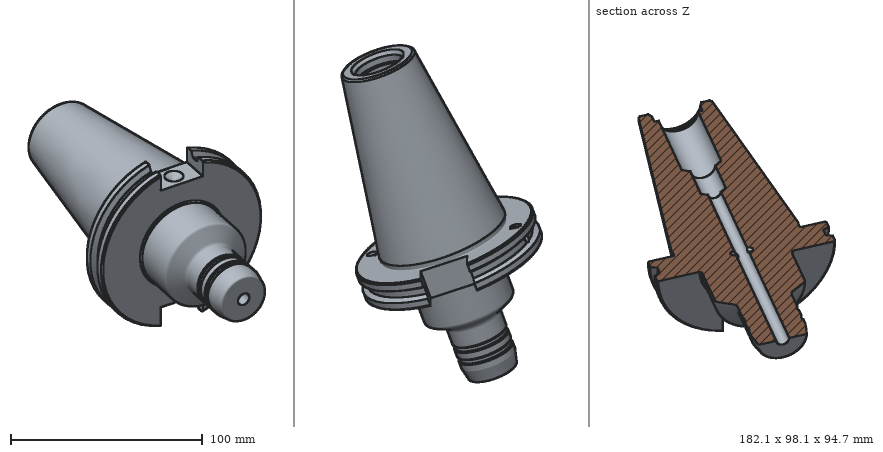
import cadquery as cq
import math


gauge_diameter = 69.85
taper_ratio = 7 / 24
taper_length = 101.6
taper_end_chamfer = 1.0
neck_diameter = 69.25
neck_start = 1.0
neck_fillet = 0.4

flange_diameter = 98.1
flange_start = 3.175
flange_end = 19.05
flange_chamfer = 0.8
groove_center = 11.1
groove_floor_diameter = 91.4
groove_floor_width = 3.8
groove_mouth_width = 7.0

slot_width = 25.7
upper_slot_floor = 37.8
lower_slot_floor = 35.3
dimple_diameter = 10.0
drill_point_half_angle = math.radians(59)

overall_length = 182.1
nose_end = overall_length - taper_length
body_diameter = 49.5
body_root_chamfer = 0.9
shoulder_start = 41.7
shoulder_angle = math.radians(60)
shoulder_outer_fillet = 2.0
shoulder_inner_fillet = 2.5
nose_diameter = 30.0
nose_taper_start = 73.0
nose_tip_diameter = 27.0
nose_tip_fillet = 1.0
nose_groove_starts = (58.8, 65.9)
nose_groove_width = 3.2
nose_groove_diameter = 29.0
nose_groove_floor_width = 2.0

mouth_diameter = 29.0
mouth_depth = 2.4
pilot_diameter = 26.2
pilot_depth = 6.2
tap_hole_diameter = 21.5
tap_hole_depth = 45.0
cavity_diameter = 13.5
cavity_depth = 65.0
through_diameter = 6.92

coolant_angle = 20.0
coolant_radius = 42.0
coolant_tilt = 35.0
coolant_mouth_diameter = 5.0
coolant_mouth_depth = 1.6
coolant_diameter = 4.13
radial_hole_diameter = 4.2


def make_body():
    """Revolve the outside of taper, flange, body and nose."""
    small_radius = (gauge_diameter - taper_length * taper_ratio) / 2
    chamfer_x = -taper_length + taper_end_chamfer
    chamfer_radius = small_radius + taper_end_chamfer * taper_ratio / 2
    neck_radius = neck_diameter / 2
    flange_radius = flange_diameter / 2
    body_radius = body_diameter / 2
    nose_radius = nose_diameter / 2
    tip_radius = nose_tip_diameter / 2

    sin_a = math.sin(shoulder_angle)
    cos_a = math.cos(shoulder_angle)
    sin_half = math.sin(shoulder_angle / 2)
    cos_half = math.cos(shoulder_angle / 2)
    outer = shoulder_outer_fillet
    inner = shoulder_inner_fillet
    cone_start = (shoulder_start + outer * sin_a, body_radius - outer * (1 - cos_a))
    cone_end_radius = nose_radius + inner * (1 - cos_a)
    cone_end_x = cone_start[0] + (cone_start[1] - cone_end_radius) / math.tan(shoulder_angle)
    shoulder_end = cone_end_x + inner * sin_a
    outer_mid = (shoulder_start + outer * sin_half, body_radius - outer * (1 - cos_half))
    inner_mid = (shoulder_end - inner * sin_half, nose_radius + inner * (1 - cos_half))

    neck_diag = neck_fillet * (1 - math.sqrt(0.5))

    tip_start = nose_end - nose_tip_fillet
    tip_diag = nose_tip_fillet * (1 - math.sqrt(0.5))

    profile = (
        cq.Workplane("XY")
        .moveTo(-taper_length, 0)
        .lineTo(-taper_length, small_radius - taper_end_chamfer)
        .lineTo(chamfer_x, chamfer_radius)
        .lineTo(0, gauge_diameter / 2)
        .lineTo(neck_start, neck_radius)
        .lineTo(flange_start - neck_fillet, neck_radius)
        .threePointArc(
            (flange_start - neck_diag, neck_radius + neck_diag),
            (flange_start, neck_radius + neck_fillet),
        )
        .lineTo(flange_start, flange_radius - flange_chamfer)
        .lineTo(flange_start + flange_chamfer, flange_radius)
        .lineTo(flange_end - flange_chamfer, flange_radius)
        .lineTo(flange_end, flange_radius - flange_chamfer)
        .lineTo(flange_end, body_radius + body_root_chamfer)
        .lineTo(flange_end + body_root_chamfer, body_radius)
        .lineTo(shoulder_start, body_radius)
        .threePointArc(outer_mid, cone_start)
        .lineTo(cone_end_x, cone_end_radius)
        .threePointArc(inner_mid, (shoulder_end, nose_radius))
        .lineTo(nose_taper_start, nose_radius)
        .lineTo(tip_start, tip_radius)
        .threePointArc(
            (nose_end - tip_diag, tip_radius - tip_diag),
            (nose_end, tip_radius - nose_tip_fillet),
        )
        .lineTo(nose_end, 0)
        .close()
    )
    return profile.revolve(360, (0, 0, 0), (1, 0, 0))


def make_groove(center, floor_width, mouth_width, floor_diameter, rim_diameter):
    """Ring that cuts a groove with sloping walls into a rim."""
    half_floor = floor_width / 2
    half_mouth = mouth_width / 2
    floor_radius = floor_diameter / 2
    rim_radius = rim_diameter / 2
    return (
        cq.Workplane("XY")
        .moveTo(center - half_floor, floor_radius)
        .lineTo(center + half_floor, floor_radius)
        .lineTo(center + half_mouth, rim_radius)
        .lineTo(center - half_mouth, rim_radius)
        .close()
        .revolve(360, (0, 0, 0), (1, 0, 0))
    )


def make_drive_slot(side, floor):
    """Block that cuts one drive slot; side is +1 for +Z and -1 for -Z."""
    length = flange_end - flange_start
    height = flange_diameter / 2
    return cq.Workplane("XY").box(length, slot_width, height).translate(
        (flange_start + length / 2, 0, side * (floor + height / 2))
    )


def make_dimple():
    """Shallow cone, left by a drill point, sunk into the floor of the upper slot."""
    radius = dimple_diameter / 2
    depth = radius / math.tan(drill_point_half_angle)
    return cq.Workplane("XY").add(
        cq.Solid.makeCone(
            radius, 0, depth, pnt=cq.Vector(groove_center, 0, upper_slot_floor), dir=cq.Vector(0, 0, -1)
        )
    )


def make_bore():
    """Revolve the stepped bore; the two deeper drilled steps end in drill points."""
    mouth = -taper_length
    slope = math.tan(drill_point_half_angle)
    tap_hole_radius = tap_hole_diameter / 2
    cavity_radius = cavity_diameter / 2
    through_radius = through_diameter / 2
    return (
        cq.Workplane("XY")
        .polyline([
            (mouth, 0),
            (mouth, mouth_diameter / 2),
            (mouth + mouth_depth, pilot_diameter / 2),
            (mouth + pilot_depth, pilot_diameter / 2),
            (mouth + pilot_depth, tap_hole_radius),
            (mouth + tap_hole_depth, tap_hole_radius),
            (mouth + tap_hole_depth + (tap_hole_radius - cavity_radius) / slope, cavity_radius),
            (mouth + cavity_depth, cavity_radius),
            (mouth + cavity_depth + (cavity_radius - through_radius) / slope, through_radius),
            (nose_end, through_radius),
            (nose_end, 0),
        ])
        .close()
        .revolve(360, (0, 0, 0), (1, 0, 0))
    )


def make_coolant_holes(rotation):
    """Radial hole from the groove to the bore, met by a tilted stepped hole from the flange face."""
    radial = cq.Workplane("XZ", origin=(groove_center, 0, 0))
    radial = radial.circle(radial_hole_diameter / 2).extrude(-flange_diameter / 2)

    face_to_radial = groove_center - flange_start
    tilted_depth = face_to_radial / math.cos(math.radians(coolant_tilt))
    mouth_length = coolant_mouth_diameter + coolant_mouth_depth
    mouth = cq.Workplane("YZ", origin=(-coolant_mouth_diameter, 0, 0))
    mouth = mouth.circle(coolant_mouth_diameter / 2).extrude(mouth_length)
    tilted = cq.Workplane("YZ").circle(coolant_diameter / 2).extrude(tilted_depth).union(mouth)
    tilted = tilted.rotate((0, 0, 0), (0, 0, 1), -coolant_tilt)
    tilted = tilted.translate((flange_start, coolant_radius, 0))
    return radial.union(tilted).rotate((0, 0, 0), (1, 0, 0), rotation)


result = make_body()
result = result.cut(make_groove(
    groove_center, groove_floor_width, groove_mouth_width, groove_floor_diameter, flange_diameter
))
for groove_start in nose_groove_starts:
    result = result.cut(make_groove(
        groove_start + nose_groove_width / 2,
        nose_groove_floor_width,
        nose_groove_width,
        nose_groove_diameter,
        nose_diameter,
    ))
for side, floor in ((1, upper_slot_floor), (-1, lower_slot_floor)):
    result = result.cut(make_drive_slot(side, floor))
result = result.cut(make_dimple())
result = result.cut(make_bore())
for half_turn in (0, 180):
    result = result.cut(make_coolant_holes(coolant_angle + half_turn))